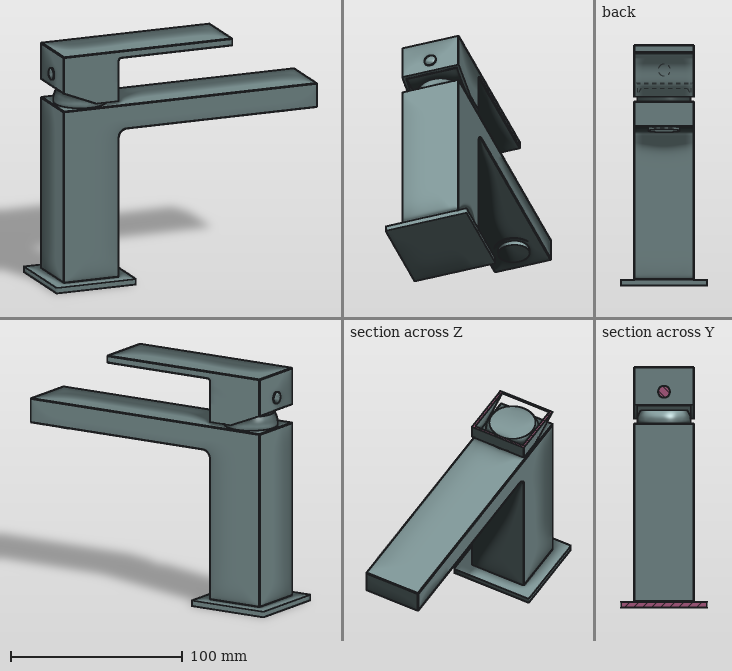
import cadquery as cq
import math


total_height = 140.0
plate_side = 50.0
total_length = 167.5
plate_thickness = 3.4
plate_corner_radius = 0.5
column_side = 35.0
body_top = 107.2
spout_thickness = 14.7
spout_root_radius = 5.0
edge_break = 0.5

aerator_diameter = 18.5
aerator_y = 126.1
aerator_drop = 2.3
aerator_tilt = 5.6
aerator_flange_diameter = 23.1
aerator_flange_drop = -0.5
aerator_embedded_length = 5.0

cover_base_radius = 15.5
cover_top_radius = 13.4
cover_height = 7.7
cover_bulge = 0.8

lever_reach = 89.1
lever_thickness = 4.5
lever_root_radius = 1.5
handle_bottom = 109.9
slope_top = 118.1
slope_start_y = 2.7
handle_wall = 1.8

button_diameter = 7.0
button_rim = 0.7
button_bulge = 1.3
button_height = 125.6

column_half = column_side / 2
spout_tip = total_length - plate_side / 2
spout_bottom = body_top - spout_thickness
lever_bottom = total_height - lever_thickness


def side_profile(points):
    """Extrude an outline of (Y, Z) points across the full column width."""
    return cq.Workplane("YZ").polyline(points).close().extrude(column_half, both=True)


def make_base_plate():
    plate = cq.Workplane("XY").rect(plate_side, plate_side).extrude(plate_thickness)
    return plate.edges("|Z").fillet(plate_corner_radius)


def make_aerator():
    """Tilted outlet cylinder with a wider flange, sunk into the spout underside."""
    axis_tilt = math.radians(aerator_tilt)
    down = cq.Vector(0, math.sin(axis_tilt), -math.cos(axis_tilt))
    mouth = cq.Vector(0, aerator_y, spout_bottom)

    def disc(diameter, drop):
        start = mouth - down * aerator_embedded_length
        return cq.Solid.makeCylinder(diameter / 2, aerator_embedded_length + drop, start, down)

    outlet = cq.Workplane(disc(aerator_diameter, aerator_drop))
    return outlet.union(cq.Workplane(disc(aerator_flange_diameter, aerator_flange_drop)))


def make_body():
    """Square column and flat spout in one piece, with the aerator under the tip."""
    body = side_profile([
        (-column_half, plate_thickness),
        (-column_half, body_top),
        (spout_tip, body_top),
        (spout_tip, spout_bottom),
        (column_half, spout_bottom),
        (column_half, plate_thickness),
    ])
    root_corner = cq.NearestToPointSelector((0, column_half, spout_bottom))
    body = body.edges(root_corner).fillet(spout_root_radius)
    body = body.edges().chamfer(edge_break)
    return body.union(make_aerator())


def make_cartridge_cover():
    """Flat-topped dome resting on the body."""
    cover_top = body_top + cover_height
    bulge_point = (
        (cover_base_radius + cover_top_radius) / 2 + cover_bulge,
        body_top + cover_height / 2,
    )
    return (
        cq.Workplane("XZ")
        .moveTo(0, body_top)
        .lineTo(cover_base_radius, body_top)
        .threePointArc(bulge_point, (cover_top_radius, cover_top))
        .lineTo(0, cover_top)
        .close()
        .revolve(360, (0, 0), (0, 1))
    )


def make_button():
    """Round button with a short straight rim and a spherical face."""
    button_radius = button_diameter / 2
    sphere_radius = (button_radius**2 + button_bulge**2) / (2 * button_bulge)
    half_angle = math.asin(button_radius / sphere_radius) / 2
    mid_bulge = button_bulge - sphere_radius * (1 - math.cos(half_angle))
    mid_radius = sphere_radius * math.sin(half_angle)

    return (
        cq.Workplane("XZ", origin=(0, -column_half, button_height))
        .circle(button_radius)
        .extrude(button_rim)
        .union(
            cq.Workplane("XY", origin=(0, -column_half - button_rim, button_height))
            .lineTo(button_radius, 0)
            .threePointArc((mid_radius, -mid_bulge), (0, -button_bulge))
            .close()
            .revolve(360, (0, 0), (0, 1))
        )
    )


def make_handle():
    """Block with a thin lever, a sloped front underside and a recess over the cover."""
    handle = side_profile([
        (-column_half, handle_bottom),
        (-column_half, total_height),
        (lever_reach, total_height),
        (lever_reach, lever_bottom),
        (column_half, lever_bottom),
        (column_half, handle_bottom),
    ])
    root_corner = cq.NearestToPointSelector((0, column_half, lever_bottom))
    handle = handle.edges(root_corner).fillet(lever_root_radius)
    handle = handle.edges("not <Z").chamfer(edge_break)

    front_wedge = side_profile([
        (-column_half, handle_bottom),
        (-column_half, slope_top),
        (slope_start_y, handle_bottom),
    ])
    recess_side = column_side - 2 * handle_wall
    recess = (
        cq.Workplane("XY", origin=(0, 0, handle_bottom))
        .rect(recess_side, recess_side)
        .extrude(slope_top - handle_bottom)
    )
    return handle.cut(front_wedge).cut(recess).union(make_button())


base_plate = make_base_plate()
body = make_body()
cartridge_cover = make_cartridge_cover()
handle = make_handle()

result = cq.Compound.makeCompound([
    base_plate.solids().val(),
    body.solids().val(),
    cartridge_cover.solids().val(),
    handle.solids().val(),
])